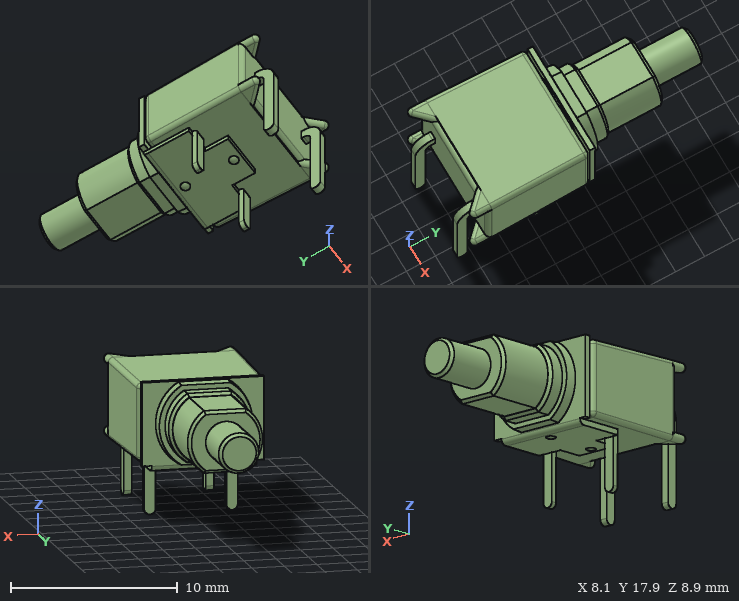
import cadquery as cq
import math


plunger_tip_y = 17.93
bushing_end_y = 14.56
collar_end_y = 10.72
flange_end_y = 9.68
bracket_front_y = 8.98
body_front_y = 8.52
shell_rear_y = 1.69
body_rear_y = 1.36
ear_tip_y = 0.38

plunger_radius = 1.24
bushing_size = (2.31, 1.92)
collar_size = (2.53, 2.13)
flange_size = (2.94, 2.51)
neck_size = (2.65, 2.22)
flange_draft = 5.0
shoulder_chamfer = 0.2

body_width = 8.1
body_height = 5.05
body_draft = 1.0
edge_radius = 0.3
rear_step = 0.15
ear_angle = 45.0

sheet = 0.38
bend_radius = 0.35
bracket_width = 7.53
bracket_top_z = 2.56
overall_height = 8.9
shelf_width = 6.49
tongue_width = 2.95
tongue_end_y = 4.05
leg_front_y = 5.7
leg_width = 0.7
leg_tip_radius = 0.34
leg_bottom_z = bracket_top_z - overall_height
shelf_center_x = -0.07
shelf_top_z = -2.56
dimple_radius = 0.3
dimple_height = 0.1
dimple_stations = (8.09, 4.6)

pin_width = 0.52
pin_depth = 0.72
pin_top_z = 0.41
pin_bottom_z = -6.3
pin_bend_radius = 1.18
pin_center_x = 0.05
pin_root = 0.18
lead_pitch = 5.07


def block(x_range, y_range, z_range):
    """Axis-aligned block between the given limits."""
    sizes = [high - low for low, high in (x_range, y_range, z_range)]
    corner = (x_range[0], y_range[0], z_range[0])
    return cq.Workplane("XY").box(*sizes, centered=False).translate(corner)


def facing_plus_y(y):
    """Workplane at the given Y whose normal points along +Y."""
    return cq.Workplane(cq.Plane(origin=(0, y, 0), xDir=(-1, 0, 0), normal=(0, 1, 0)))


def flatted_disc(start_y, end_y, size, taper=0.0):
    """Round boss along +Y with a flat on its top and on its bottom."""
    radius, half_height = size
    half_flat = math.sqrt(radius**2 - half_height**2)
    outline = (
        facing_plus_y(start_y)
        .moveTo(-half_flat, half_height)
        .lineTo(half_flat, half_height)
        .threePointArc((radius, 0), (half_flat, -half_height))
        .lineTo(-half_flat, -half_height)
        .threePointArc((-radius, 0), (-half_flat, half_height))
        .close()
    )
    return outline.extrude(end_y - start_y, taper=taper)


def make_actuator():
    plunger = facing_plus_y(flange_end_y).circle(plunger_radius).extrude(plunger_tip_y - flange_end_y)
    plunger = plunger.faces(">Y").chamfer(shoulder_chamfer)
    bushing = flatted_disc(flange_end_y, bushing_end_y, bushing_size).faces(">Y").chamfer(shoulder_chamfer)
    collar = flatted_disc(flange_end_y, collar_end_y, collar_size).faces(">Y").chamfer(shoulder_chamfer)
    flange = flatted_disc(bracket_front_y, flange_end_y, flange_size, flange_draft)
    neck = flatted_disc(body_front_y - edge_radius, bracket_front_y, neck_size)
    return plunger.union(bushing).union(collar).union(flange).union(neck)


def make_body():
    """Housing that narrows slightly toward the bracket, with a lower rounded rear cap."""
    shell = facing_plus_y(shell_rear_y).rect(body_width, body_height)
    shell = shell.extrude(body_front_y - shell_rear_y, taper=body_draft)
    shell = shell.edges("not <Y").fillet(edge_radius)
    cap = facing_plus_y(body_rear_y).rect(body_width, body_height - 2 * rear_step)
    cap = cap.extrude(shell_rear_y - body_rear_y)
    cap = cap.edges("not >Y").fillet(edge_radius)
    return shell.union(cap)


def make_ear():
    """Triangular corner ear at +X, +Z whose free edges are rounded over its full thickness."""
    x = body_width / 2 - edge_radius
    z = body_height / 2 - edge_radius
    tip_y = ear_tip_y + edge_radius
    depth = shell_rear_y - tip_y
    reach = depth * math.tan(math.radians(ear_angle))
    tip_turn = 180 - ear_angle
    slant_length = depth / math.cos(math.radians(ear_angle)) + edge_radius

    def half_disc(outward):
        """Half disc at the ear tip, upright and bulging the given way."""
        along = cq.Vector(*outward).cross(cq.Vector(0, 0, 1))
        plane = cq.Plane(origin=(x, tip_y, z), xDir=outward, normal=along)
        rim = cq.Workplane(plane).moveTo(0, -edge_radius)
        return rim.threePointArc((edge_radius, 0), (0, edge_radius)).close()

    web = (
        cq.Workplane("XY", origin=(0, 0, z - edge_radius))
        .polyline([(x, tip_y), (x, shell_rear_y), (x - reach, shell_rear_y)])
        .close()
        .extrude(2 * edge_radius)
    )
    outer_edge = half_disc((1, 0, 0)).extrude(-depth)
    tip = half_disc((1, 0, 0)).revolve(tip_turn, (0, 0), (0, -1))
    shell_side = block((0, body_width), (shell_rear_y, body_front_y), (0, body_height))
    slant_edge = half_disc((-depth, -reach, 0)).extrude(slant_length).cut(shell_side)
    return web.union(outer_edge).union(tip).union(slant_edge)


def make_leg(center_x):
    """Tab leaving the shelf toward -Y, bent down and rounded at its tip."""
    half = leg_width / 2
    leg = block(
        (center_x - half, center_x + half),
        (leg_front_y - sheet, leg_front_y),
        (leg_bottom_z, shelf_top_z),
    )
    leg = leg.edges("|Y and <Z").fillet(leg_tip_radius)
    return leg.faces("<Y").edges(">Z").fillet(bend_radius)


def make_dimple(y):
    """Shallow spherical bump under the shelf."""
    ball_radius = (dimple_radius**2 + dimple_height**2) / (2 * dimple_height)
    shelf_bottom_z = shelf_top_z - sheet
    center_z = shelf_bottom_z - dimple_height + ball_radius
    ball = cq.Workplane("XY").sphere(ball_radius).translate((shelf_center_x, y, center_z))
    keep = block(
        (shelf_center_x - ball_radius, shelf_center_x + ball_radius),
        (y - ball_radius, y + ball_radius),
        (shelf_bottom_z - dimple_height, shelf_bottom_z + sheet / 2),
    )
    return ball.intersect(keep)


def make_bracket():
    def across(width):
        return (shelf_center_x - width / 2, shelf_center_x + width / 2)

    upright = block(
        (-bracket_width / 2, bracket_width / 2),
        (bracket_front_y - sheet, bracket_front_y),
        (shelf_top_z, bracket_top_z),
    )
    shelf_z = (shelf_top_z - sheet, shelf_top_z)
    shelf = block(across(shelf_width), (leg_front_y, bracket_front_y), shelf_z)
    shelf = shelf.faces(">Y").edges("<Z").fillet(bend_radius)
    tongue = block(across(tongue_width), (tongue_end_y, leg_front_y), shelf_z)
    bracket = upright.union(shelf).union(tongue)
    for side in (-1, 1):
        bracket = bracket.union(make_leg(shelf_center_x + side * lead_pitch / 2))
    for y in dimple_stations:
        bracket = bracket.union(make_dimple(y))
    return bracket


def make_pin(center_x):
    """Flat pin leaving the housing toward -Y and bent down, with a round tip."""
    half_depth = pin_depth / 2
    inner_radius = pin_bend_radius - pin_depth
    bend_z = pin_top_z - pin_bend_radius
    root_y = body_rear_y + pin_root
    tip_z = pin_bottom_z + half_depth
    outer_mid = pin_bend_radius * math.sqrt(0.5)
    inner_mid = inner_radius * math.sqrt(0.5)
    return (
        cq.Workplane("YZ", origin=(center_x - pin_width / 2, 0, 0))
        .moveTo(root_y, pin_top_z)
        .lineTo(pin_bend_radius, pin_top_z)
        .threePointArc((pin_bend_radius - outer_mid, bend_z + outer_mid), (0, bend_z))
        .lineTo(0, tip_z)
        .threePointArc((half_depth, pin_bottom_z), (pin_depth, tip_z))
        .lineTo(pin_depth, bend_z)
        .threePointArc(
            (pin_bend_radius - inner_mid, bend_z + inner_mid),
            (pin_bend_radius, bend_z + inner_radius),
        )
        .lineTo(root_y, bend_z + inner_radius)
        .close()
        .extrude(pin_width)
    )


result = make_body().union(make_actuator()).union(make_bracket())

ear = make_ear()
upper_ears = ear.union(ear.mirror("YZ"))
result = result.union(upper_ears).union(upper_ears.mirror("XY"))

for pin_side in (-1, 1):
    result = result.union(make_pin(pin_center_x + pin_side * lead_pitch / 2))